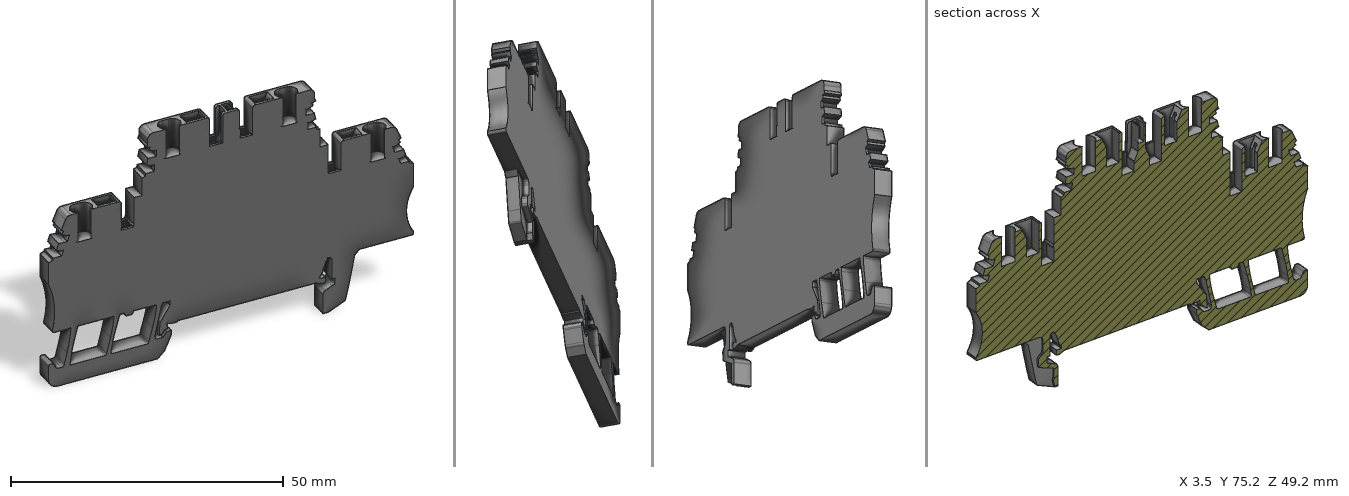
import cadquery as cq
import math


thickness = 3.5
length = 75.15
height = 49.2
half_length = length / 2
left_face = -thickness / 2
right_face = thickness / 2

lower_top = 36.3
housing_bottom = 11.8
tongue_bottom = 7.1
slot_depth = 6.3
slot_width = 2.6
slot_bevel = 0.2
upper_deck_inner = 4.4
lower_deck_inner = 22.6
neck_half = 18.3
edge_radius = 0.5
shoulder_radius = 1.2
end_corner_radius = 0.4
overlap = 0.75

post_half = 1.7
post_foot_half = 1.9
post_step = 44.9
post_pocket_width = 2.4
post_pocket_inner = -0.45
post_pocket_outer = 0.7
post_pocket_depth = 3.75
post_groove_width = 2.2
post_groove_depth = 0.8
post_ramp_top = 0.8
post_ramp_bottom = -1.0

entry_radius = 1.6
entry_length = 4.4
entry_x = 0.4
entry_offset = 7.6
opening_depth = 6.3
clamp_width = 2.5
clamp_length = 3.8
clamp_offset = 0.75
ramp_run = 1.1
ramp_drop = 2.25
key_width = 0.7
key_run = 0.6
key_x = 0.2
channel_width = 2.25
channel_x = 0.15
channel_depth = 3.0

groove_lip = 0.45
relief_depth = 0.6

foot_recess = 1.1


def corner_arc(previous, corner, following):
    """Start, middle and end of the tangent arc that rounds an outline corner (y, z, radius)."""
    y, z, radius = corner
    back = (previous[0] - y, previous[1] - z)
    ahead = (following[0] - y, following[1] - z)
    back_size = math.hypot(*back)
    ahead_size = math.hypot(*ahead)
    back = (back[0] / back_size, back[1] / back_size)
    ahead = (ahead[0] / ahead_size, ahead[1] / ahead_size)
    half_angle = math.acos(back[0] * ahead[0] + back[1] * ahead[1]) / 2
    setback = radius / math.tan(half_angle)
    to_middle = radius / math.sin(half_angle) - radius
    bisector = (back[0] + ahead[0], back[1] + ahead[1])
    bisector_size = math.hypot(*bisector)
    start = (y + setback * back[0], z + setback * back[1])
    middle = (y + to_middle * bisector[0] / bisector_size, z + to_middle * bisector[1] / bisector_size)
    end = (y + setback * ahead[0], z + setback * ahead[1])
    return start, middle, end


def plate(corners, x_start=left_face, x_end=right_face):
    """Extrude a closed YZ outline along X; a third number in a corner is its rounding radius."""
    sketch = cq.Workplane("YZ").workplane(offset=x_start)
    for index, corner in enumerate(corners):
        following = corners[(index + 1) % len(corners)]
        if len(corner) == 3:
            start, middle, end = corner_arc(corners[index - 1], corner, following)
        else:
            start, middle, end = corner, None, None
        sketch = sketch.moveTo(*start) if index == 0 else sketch.lineTo(*start)
        if middle:
            sketch = sketch.threePointArc(middle, end)
    return sketch.close().extrude(x_end - x_start)


def mirrored(corners):
    """The same corners on the other side of Y = 0, in reverse order."""
    return [(-corner[0],) + corner[1:] for corner in reversed(corners)]


def box(x_centre, width, y_from, y_to, z_from, z_to):
    size_y = abs(y_to - y_from)
    solid = cq.Workplane("XY").box(width, size_y, z_to - z_from)
    return solid.translate((x_centre, (y_from + y_to) / 2, (z_from + z_to) / 2))


flank = [
    (upper_deck_inner, height - slot_depth),
    (upper_deck_inner, height, edge_radius),
    (17.2, height, shoulder_radius),
    (17.2, 47.05),
    (17.4, 46.5),
    (16.7, 46.2),
    (16.9, 45.7),
    (16.0, 45.2),
    (16.0, 43.95),
    (17.1, 43.95),
    (17.4, 42.6),
    (16.4, 42.2),
    (16.45, 40.8),
    (17.6, 40.8),
    (17.65, 40.3),
    (neck_half, 40.05),
    (neck_half, lower_top),
    (lower_deck_inner - slot_width, lower_top),
    (lower_deck_inner - slot_width, lower_top - slot_depth + edge_radius),
    (lower_deck_inner - slot_width + slot_bevel, lower_top - slot_depth),
    (lower_deck_inner, lower_top - slot_depth),
    (lower_deck_inner, lower_top, edge_radius),
    (33.8, lower_top, shoulder_radius),
    (35.0, 33.5),
    (34.6, 33.1),
    (34.9, 32.6),
    (33.9, 32.0),
    (34.35, 30.7),
    (35.55, 30.8),
    (36.0, 29.45),
    (35.1, 29.1),
    (35.55, 27.95),
    (36.7, 27.95),
    (36.75, 27.6),
    (half_length, 27.2),
]

post = [
    (-post_half, height - slot_depth),
    (-post_half, height, edge_radius),
    (post_half, height, edge_radius),
    (post_half, post_step),
    (post_foot_half, post_step),
    (post_foot_half, height - slot_depth),
]

underside = [(half_length, housing_bottom), (-half_length, housing_bottom)]
housing = plate(post + flank + underside + mirrored(flank))

waists = [
    ((half_length, 22.2), (36.15, 17.4), (half_length, 12.5)),
    ((-half_length, 22.4), (-36.4, 17.2), (-36.8, 12.3)),
]
for waist_top, waist_middle, waist_end in waists:
    outside = math.copysign(half_length + overlap, waist_top[0])
    waist = (
        cq.Workplane("YZ").workplane(offset=left_face)
        .moveTo(*waist_top)
        .threePointArc(waist_middle, waist_end)
        .lineTo(waist_end[0], housing_bottom)
        .lineTo(outside, housing_bottom)
        .lineTo(outside, waist_top[1])
        .close()
        .extrude(thickness)
    )
    housing = housing.cut(waist)
for waist_top, waist_middle, waist_end in waists:
    corner_edge = cq.selectors.NearestToPointSelector((0, waist_end[0], housing_bottom))
    housing = housing.edges("|X").edges(corner_edge).fillet(end_corner_radius)

groove_floors = [
    ((16.0, 45.2), (16.0, 43.95)),
    ((16.4, 42.2), (16.45, 40.8)),
    ((33.9, 32.0), (34.35, 30.7)),
    ((35.1, 29.1), (35.55, 27.95)),
]
for floor_top, floor_end in groove_floors:
    relief = [
        floor_top,
        floor_end,
        (floor_end[0] - relief_depth, floor_end[1]),
        (floor_top[0] - relief_depth, floor_top[1]),
    ]
    for corners in (relief, mirrored(relief)):
        housing = housing.cut(plate(corners, left_face + groove_lip))


tongue = plate([
    (19.9, housing_bottom + overlap),
    (19.9, housing_bottom),
    (19.45, 11.05),
    (18.8, 8.95),
    (18.25, 8.2),
    (18.25, 7.8),
    (19.4, 7.8),
    (19.4, 6.6, 0.2),
    (18.6, 6.6),
    (17.5, tongue_bottom),
    (-10.9, tongue_bottom),
    (-11.1, 6.85),
    (-12.4, 6.85),
    (-13.15, tongue_bottom),
    (-13.15, 5.9),
    (-13.75, 5.8),
    (-14.4, 4.95),
    (-14.8, 4.95),
    (-14.65, 7.75),
    (-12.55, 10.8),
    (-12.55, housing_bottom + overlap),
])

foot_toe = 18.9
foot = plate([
    (26.4, housing_bottom + overlap),
    (26.4, housing_bottom),
    (25.5, 10.8),
    (24.1, 4.05),
    (23.5, 1.6, 0.4),
    (19.9, 0),
    (foot_toe, 0),
    (foot_toe, 4.65, 0.9),
    (20.8, 5.55),
    (21.4, 5.7, 0.3),
    (21.4, 7.0),
    (20.75, 7.0),
    (20.75, housing_bottom, 0.6),
    (19.5, housing_bottom),
    (19.5, housing_bottom + overlap),
])
foot_web_pocket = plate([
    (27.05, housing_bottom),
    (22.4, housing_bottom, 0.9),
    (22.4, 8.4, 0.6),
    (23.5, 7.2, 0.6),
    (23.4, 5.4, 0.6),
    (19.9, 4.05),
    (19.9, 1.95),
    (20.05, 1.4),
    (19.7, 0),
    (19.7, -0.75),
    (27.05, -0.75),
], left_face, left_face + foot_recess)
foot = foot.cut(foot_web_pocket)

latch_bar_top = 3.8
strut_bend_radius = 30.05
latch = plate([
    (-14.05, housing_bottom + overlap),
    (-14.05, housing_bottom),
    (-14.4, 11.05),
    (-15.7, 5.1),
    (-15.55, 4.35, 0.4),
    (-14.05, 4.35),
    (-13.2, 5.3),
    (-12.3, 5.4),
    (-12.3, 4.4, 0.75),
    (-13.7, 1.35, 1.5),
    (-15.2, 0),
    (-half_length, 0, 1.8),
    (-half_length, 5.2, 0.4),
    (-36.6, 5.2, 0.3),
    (-35.9, latch_bar_top, 0.6),
    (-34.5, latch_bar_top, 0.6),
    (-33.2, 9.0, strut_bend_radius),
    (-33.0, housing_bottom),
    (-33.0, housing_bottom + overlap),
])
front_window = plate([
    (-15.3, housing_bottom, 0.3),
    (-15.6, 9.2, strut_bend_radius),
    (-17.05, latch_bar_top, 0.3),
    (-24.8, latch_bar_top, 0.3),
    (-24.3, 7.1, strut_bend_radius),
    (-22.9, housing_bottom, 0.2),
    (-22.0, housing_bottom),
    (-21.65, 11.1),
    (-20.45, 11.1),
    (-20.0, housing_bottom),
])
rear_window = plate([
    (-24.1, housing_bottom),
    (-24.4, 9.2, strut_bend_radius),
    (-25.7, latch_bar_top, 0.3),
    (-33.2, latch_bar_top, 0.2),
    (-32.75, 7.15, strut_bend_radius),
    (-31.55, housing_bottom, 0.2),
])
latch = latch.cut(front_window).cut(rear_window)

body = housing.union(tongue).union(foot).union(latch)


def deck_openings(inner_wall, top, side):
    """Conductor entry, clamp opening and bridge channel of one deck; side is +1 or -1 along Y."""
    floor = top - opening_depth

    entry = (
        cq.Workplane("XY").workplane(offset=floor)
        .center(entry_x, side * (inner_wall + entry_offset))
        .slot2D(entry_length, 2 * entry_radius, 90)
        .extrude(opening_depth)
    )

    clamp_inner = inner_wall + clamp_offset
    clamp_outer = clamp_inner + clamp_length
    clamp = box(0, clamp_width, side * clamp_inner, side * clamp_outer, floor, top)
    ramp = plate([
        (side * clamp_outer, top),
        (side * clamp_outer, floor),
        (side * (clamp_outer - ramp_run), floor),
        (side * (clamp_outer - ramp_run), top - ramp_drop),
    ], -clamp_width / 2, clamp_width / 2)
    key_outer = clamp_outer - ramp_run + key_run
    key = box(key_x, key_width, side * clamp_inner, side * key_outer, floor, top)

    slot_floor = top - slot_depth
    channel = box(
        channel_x, channel_width, side * (inner_wall - slot_width), side * inner_wall,
        slot_floor - channel_depth, slot_floor,
    )
    return entry.union(clamp.cut(ramp)).union(key).union(channel)


for side in (1, -1):
    body = body.cut(deck_openings(upper_deck_inner, height, side))
    body = body.cut(deck_openings(lower_deck_inner, lower_top, side))

post_pocket = box(
    0, post_pocket_width, post_pocket_inner, post_pocket_outer, height - post_pocket_depth, height
)
body = body.cut(post_pocket)

groove_floor = post_half - post_groove_depth
slot_floor = height - slot_depth
for side in (1, -1):
    groove = plate([
        (side * groove_floor, height),
        (side * groove_floor, slot_floor + post_ramp_top),
        (side * post_half, slot_floor + post_ramp_bottom),
        (side * post_foot_half, slot_floor + post_ramp_bottom),
        (side * post_foot_half, height),
    ], -post_groove_width / 2, post_groove_width / 2)
    body = body.cut(groove)

result = body